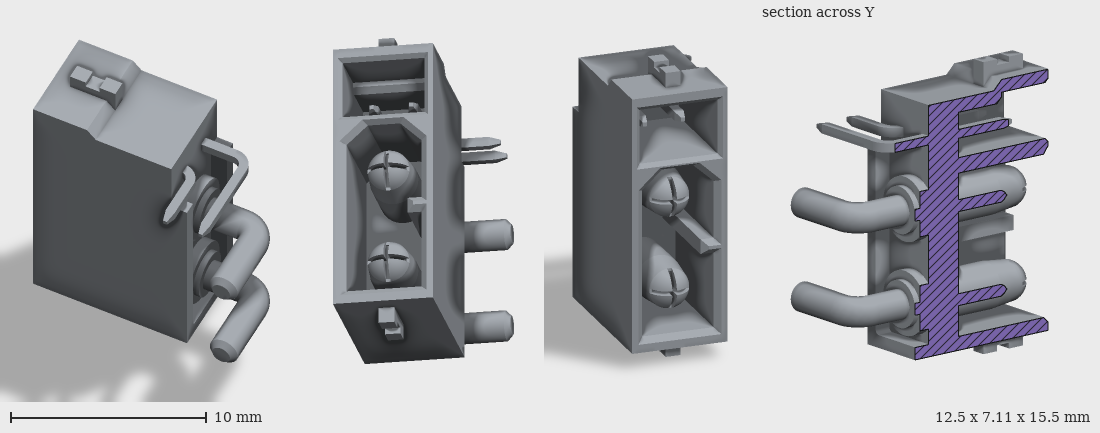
import cadquery as cq
import math


OVERLAP = 0.08

overall_length = 12.52
overall_width = 7.11
overall_height = 15.5

housing_length = 8.8
housing_width = 5.2
housing_height = 13.89
side_y = housing_width / 2

upper_length = 7.9
ledge_z = housing_height - 3.5
shoulder_start_x = 3.08
shoulder_end_x = 3.6
shoulder_drop = 0.51

tab_start_x = 1.0
tab_height = (overall_height - housing_height) / 2
tab_width = 0.8
notch_start_x = 1.9
notch_end_x = 2.7
notch_depth = 0.31

cavity_depth = 5.89
signal_mouth_half_width = side_y - 0.25
signal_mouth_top = housing_height - 0.48
signal_mouth_bottom = housing_height - 3.86
signal_lead_in = 0.22
step_face_x = shoulder_start_x
step_drop = 0.25
step_slope = 0.31

power_mouth_half_width = side_y - 0.34
power_mouth_top = housing_height - 3.94
power_mouth_bottom = 0.45
power_mouth_corner_y = 1.18
power_mouth_corner_z = 1.08
power_lead_in = 0.31
power_top_lead_in = 0.22
power_corner_y = 1.1
power_corner_z = 0.99
key_z = housing_height - 8.65
key_mouth_half_height = 0.1
key_mouth_tip_y = 1.02 - side_y
key_tip_y = 1.36 - side_y

power_pitch = 4.99
upper_power_z = housing_height - 6.2
power_pin_zs = (upper_power_z, upper_power_z - power_pitch)
pin_end_y = side_y - overall_width
leg_diameter = 1.6
leg_radius = leg_diameter / 2
leg_x = overall_length - leg_radius
leg_bend_radius = 0.99
leg_chamfer = 0.3

barrel_radius = 1.25
nose_x = 0.76
nose_sphere_radius = 1.13
nose_rim_radius = 1.08
barrel_taper_length = 1.55
slot_width = 0.25
slot_core_radius = 0.93
slot_core_depth = 0.15

pocket_half_width = 1.92
pocket_bottom = 0.68
pocket_corner_radius = 0.25
collar_radius = 1.72
collar_length = 0.57

signal_pitch = 2.06
signal_z = housing_height - 2.39
signal_size = 0.5
signal_nose_x = 2.32
signal_tip_length = 0.59
signal_tip_size = 0.22
signal_bend_radius = 0.76
short_leg_x = 8.51
long_leg_x = 10.51
long_leg_shortfall = 0.05


def yz_plane(x):
    """Work plane across the connector, with local axes along Y and Z."""
    return cq.Workplane("YZ", origin=(x, 0, 0))


def tapered_mouth(mouth, throat, lead_in):
    """Cavity of depth cavity_depth whose outline shrinks from mouth to throat over lead_in."""
    funnel = yz_plane(0).polyline(mouth).close().workplane(offset=lead_in).polyline(throat).close()
    bore = yz_plane(lead_in).polyline(throat).close().extrude(cavity_depth - lead_in)
    return funnel.loft(ruled=True).union(bore)


def housing_block():
    profile = [
        (0, 0),
        (housing_length, 0),
        (housing_length, ledge_z),
        (upper_length, ledge_z),
        (upper_length, housing_height - shoulder_drop),
        (shoulder_end_x, housing_height - shoulder_drop),
        (shoulder_start_x, housing_height),
        (0, housing_height),
    ]
    return cq.Workplane("XZ").polyline(profile).close().extrude(side_y, both=True)


def retention_tab():
    """Upper tab, rooted below the shoulder slope."""
    root_z = housing_height - shoulder_drop
    top_z = housing_height + tab_height
    profile = [
        (tab_start_x, root_z),
        (shoulder_end_x, root_z),
        (shoulder_end_x, top_z),
        (notch_end_x, top_z),
        (notch_end_x, top_z - notch_depth),
        (notch_start_x, top_z - notch_depth),
        (notch_start_x, top_z),
        (tab_start_x, top_z),
    ]
    return cq.Workplane("XZ").polyline(profile).close().extrude(tab_width / 2, both=True)


def rectangle(half_width, bottom, top):
    return [(-half_width, bottom), (half_width, bottom), (half_width, top), (-half_width, top)]


def signal_cavity():
    half_width = signal_mouth_half_width - signal_lead_in
    bottom = signal_mouth_bottom + signal_lead_in
    top = signal_mouth_top - signal_lead_in
    cavity = tapered_mouth(
        rectangle(signal_mouth_half_width, signal_mouth_bottom, signal_mouth_top),
        rectangle(half_width, bottom, top),
        signal_lead_in,
    )
    step = [
        (step_face_x, top),
        (step_face_x, top - step_drop),
        (step_face_x + step_slope, top - step_drop - step_slope),
        (cavity_depth, top - step_drop - step_slope),
        (cavity_depth, top),
    ]
    return cavity.cut(cq.Workplane("XZ").polyline(step).close().extrude(side_y, both=True))


def power_outline(half_width, bottom, top, corner_y, corner_z, key_tip, key_half_height):
    """Cavity outline with two cut-off top corners and a key rib on the -Y side."""
    return [
        (half_width, bottom),
        (half_width, top - corner_z),
        (half_width - corner_y, top),
        (corner_y - half_width, top),
        (-half_width, top - corner_z),
        (-half_width, key_z + key_half_height),
        (key_tip, key_z + key_half_height),
        (key_tip, key_z - key_half_height),
        (-half_width, key_z - key_half_height),
        (-half_width, bottom),
    ]


def power_cavity():
    mouth = power_outline(
        power_mouth_half_width, power_mouth_bottom, power_mouth_top,
        power_mouth_corner_y, power_mouth_corner_z,
        key_mouth_tip_y, key_mouth_half_height,
    )
    throat = power_outline(
        power_mouth_half_width - power_lead_in, power_mouth_bottom + power_lead_in,
        power_mouth_top - power_top_lead_in, power_corner_y, power_corner_z,
        key_tip_y, key_mouth_half_height + power_lead_in,
    )
    return tapered_mouth(mouth, throat, power_lead_in)


def rear_pocket():
    depth = housing_length - upper_length
    outline = rectangle(pocket_half_width, pocket_bottom, ledge_z)
    pocket = yz_plane(upper_length).polyline(outline).close().extrude(depth)
    return pocket.edges("|X and <Z").fillet(pocket_corner_radius)


def slot_cross(radius, end_x):
    """Two crossed slots that fill a circle of the given radius back to end_x."""
    length = end_x - nose_x + OVERLAP
    start = yz_plane(nose_x - OVERLAP)
    cross = start.rect(slot_width, 2 * radius).extrude(length)
    cross = cross.union(start.rect(2 * radius, slot_width).extrude(length))
    return cross.intersect(start.circle(radius).extrude(length))


def bent_path(start_x, down_x, y, bend_radius, end_y):
    """Centre line that runs along +X, turns a right angle and runs along -Y to end_y."""
    diagonal = bend_radius * math.sqrt(0.5)
    bend_start_x = down_x - bend_radius
    bend_middle = (bend_start_x + diagonal, y - bend_radius + diagonal)
    return (
        cq.Workplane("XY")
        .moveTo(start_x, y)
        .lineTo(bend_start_x, y)
        .threePointArc(bend_middle, (down_x, y - bend_radius))
        .lineTo(down_x, end_y)
    )


def power_pin():
    """Power pin on the axis Y = Z = 0, bent down toward -Y."""
    nose_centre_x = nose_x + nose_sphere_radius
    rim_x = nose_centre_x - math.sqrt(nose_sphere_radius**2 - nose_rim_radius**2)
    half_rim_angle = math.asin(nose_rim_radius / nose_sphere_radius) / 2
    nose_middle = (
        nose_centre_x - nose_sphere_radius * math.cos(half_rim_angle),
        nose_sphere_radius * math.sin(half_rim_angle),
    )
    collar_end_x = upper_length + collar_length
    barrel = (
        cq.Workplane("XY")
        .moveTo(nose_x, 0)
        .threePointArc(nose_middle, (rim_x, nose_rim_radius))
        .lineTo(rim_x + barrel_taper_length, barrel_radius)
        .lineTo(upper_length, barrel_radius)
        .lineTo(upper_length, collar_radius)
        .lineTo(collar_end_x, collar_radius)
        .lineTo(collar_end_x, barrel_radius)
        .lineTo(housing_length, barrel_radius)
        .lineTo(housing_length, 0)
        .close()
        .revolve(360, (0, 0, 0), (1, 0, 0))
    )
    barrel = barrel.cut(slot_cross(nose_rim_radius, rim_x))
    barrel = barrel.cut(slot_cross(slot_core_radius, rim_x + slot_core_depth))

    path = bent_path(upper_length, leg_x, 0, leg_bend_radius, pin_end_y)
    leg = yz_plane(upper_length).circle(leg_radius).sweep(path)
    leg = leg.faces("<Y").chamfer(leg_chamfer)
    return barrel.union(leg)


def pyramid_tip(plane):
    """Square tip that narrows along the normal of the plane."""
    tip = cq.Workplane(plane).rect(signal_size, signal_size)
    return tip.workplane(offset=signal_tip_length).rect(signal_tip_size, signal_tip_size).loft(ruled=True)


def signal_pin(y, down_x, end_y):
    """Square pin that enters the signal cavity and is bent down toward -Y at down_x."""
    body_start_x = signal_nose_x + signal_tip_length
    body_end_y = end_y + signal_tip_length
    path = bent_path(body_start_x, down_x, y, signal_bend_radius, body_end_y)
    section = cq.Workplane("YZ", origin=(body_start_x, y, 0)).rect(signal_size, signal_size)
    nose = pyramid_tip(cq.Plane((body_start_x, y, 0), (0, 1, 0), (-1, 0, 0)))
    tail = pyramid_tip(cq.Plane((down_x, body_end_y, 0), (1, 0, 0), (0, -1, 0)))
    return section.sweep(path).union(nose).union(tail).translate((0, 0, signal_z))


upper_tab = retention_tab()
lower_tab = upper_tab.mirror("XY", (0, 0, housing_height / 2))
result = housing_block().union(upper_tab).union(lower_tab)
result = result.cut(signal_cavity()).cut(power_cavity()).cut(rear_pocket())

for pin_z in power_pin_zs:
    result = result.union(power_pin().translate((0, 0, pin_z)))
result = result.union(signal_pin(-signal_pitch / 2, short_leg_x, pin_end_y))
result = result.union(signal_pin(signal_pitch / 2, long_leg_x, pin_end_y + long_leg_shortfall))